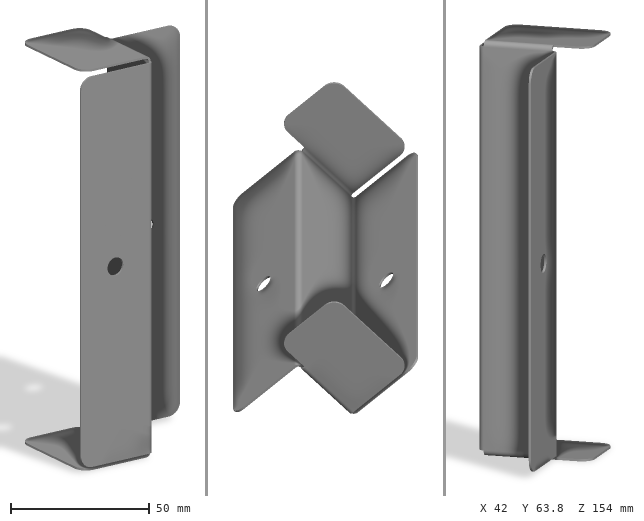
import cadquery as cq
import math

width = 42.0
depth = 63.8
height = 154.0

sheet = 0.85
inner_radius = 1.2
outer_radius = inner_radius + sheet
corner_radius = 5.0

body_bottom = outer_radius
body_top = height - outer_radius
body_height = body_top - body_bottom

web_left = 12.0
web_back = 32.0
web_front = web_back - sheet
bend_left = web_left + outer_radius
bend_right = width - outer_radius

tab_front = 2.0
tab_back = web_back - outer_radius

hole_diameter = 7.0
hole_spacing = 33.5
hole_middle = depth / 2


def make_body():
    """Z-section: rear flange on the left, web across, front flange on the right."""
    diagonal = math.sqrt(0.5)
    inner_diagonal = inner_radius * diagonal
    outer_diagonal = outer_radius * diagonal
    rear_center_y = web_front + outer_radius
    front_center_y = web_back - outer_radius
    return (
        cq.Workplane("XY", origin=(0, 0, body_bottom))
        .moveTo(web_left, depth)
        .lineTo(web_left, rear_center_y)
        .threePointArc(
            (bend_left - outer_diagonal, rear_center_y - outer_diagonal),
            (bend_left, web_front),
        )
        .lineTo(bend_right, web_front)
        .threePointArc(
            (bend_right + inner_diagonal, front_center_y + inner_diagonal),
            (width - sheet, front_center_y),
        )
        .lineTo(width - sheet, 0)
        .lineTo(width, 0)
        .lineTo(width, front_center_y)
        .threePointArc(
            (bend_right + outer_diagonal, front_center_y + outer_diagonal),
            (bend_right, web_back),
        )
        .lineTo(bend_left, web_back)
        .threePointArc(
            (bend_left - inner_diagonal, rear_center_y - inner_diagonal),
            (web_left + sheet, rear_center_y),
        )
        .lineTo(web_left + sheet, depth)
        .close()
        .extrude(body_height)
        .edges("|X and (<Y or >Y)")
        .edges("<Z or >Z")
        .fillet(corner_radius)
    )


def make_top_tab():
    """Tab bent forward from the top of the web, with a free end past its left side."""
    bend_face = (
        cq.Workplane("XY", origin=(0, 0, body_top))
        .center((bend_left + bend_right) / 2, (web_front + web_back) / 2)
        .rect(bend_right - bend_left, sheet)
    )
    bend_center_offset = -(web_front + web_back) / 2 + tab_back
    bend = bend_face.revolve(90, (-1.5, bend_center_offset), (1.5, bend_center_offset))
    tab = (
        cq.Workplane("XY", origin=(0, 0, height - sheet))
        .moveTo(0, tab_front)
        .lineTo(bend_right, tab_front)
        .lineTo(bend_right, tab_back)
        .lineTo(0, tab_back)
        .close()
        .extrude(sheet)
    )
    tab = tab.edges("|Z and (<X or <Y)").fillet(corner_radius)
    return tab.union(bend)


def make_holes():
    """One hole through each flange at mid height."""
    return (
        cq.Workplane("YZ", origin=(0, hole_middle, height / 2))
        .pushPoints([(-hole_spacing / 2, 0), (hole_spacing / 2, 0)])
        .circle(hole_diameter / 2)
        .extrude(width)
    )


top_tab = make_top_tab()
bottom_tab = top_tab.mirror("XY", (0, 0, height / 2))
result = make_body().union(top_tab).union(bottom_tab).cut(make_holes())